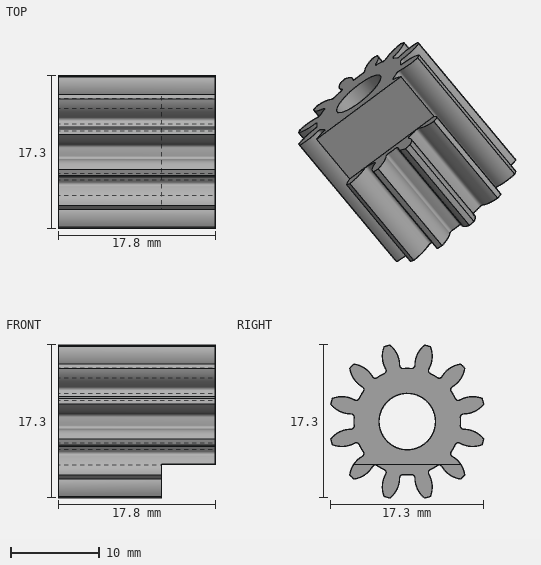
import cadquery as cq
import math

length = 17.78
tooth_count = 12
tip_radius = 8.89
root_radius = 6.05
root_fillet = 0.35
root_edge_tolerance = 0.02
bore_radius = 3.18

flank_radius = 2.93
crest_distance = 7.13
crest_half_width = 0.92
tooth_base_distance = 5.69
pitch_angle = 360 / tooth_count
first_tooth_angle = pitch_angle / 2

cut_start = 11.72
cut_flat_distance = 4.85


def flank_points():
    """Base, crest and tip corner of the flank arc on the +v side."""
    center_v = crest_half_width - flank_radius

    center_distance = math.hypot(crest_distance, center_v)
    law_of_cosines = tip_radius**2 + center_distance**2 - flank_radius**2
    angle_from_center = math.acos(law_of_cosines / (2 * tip_radius * center_distance))
    corner_angle = math.atan2(center_v, crest_distance) + angle_from_center
    tip_corner = (tip_radius * math.cos(corner_angle), tip_radius * math.sin(corner_angle))

    base_offset = tooth_base_distance - crest_distance
    base = (tooth_base_distance, center_v + math.sqrt(flank_radius**2 - base_offset**2))
    crest = (crest_distance, crest_half_width)
    return base, crest, tip_corner


def make_tooth():
    base, crest, tip_corner = flank_points()

    def mirrored(point):
        return point[0], -point[1]

    return (
        cq.Workplane("YZ")
        .moveTo(*mirrored(base))
        .threePointArc(mirrored(crest), mirrored(tip_corner))
        .threePointArc((tip_radius, 0), tip_corner)
        .threePointArc(crest, base)
        .close()
        .extrude(length)
    )


def is_root_edge(edge):
    center = edge.Center()
    return abs(math.hypot(center.y, center.z) - root_radius) < root_edge_tolerance


def make_gear():
    gear = cq.Workplane("YZ").circle(root_radius).extrude(length)
    tooth = make_tooth()
    for index in range(tooth_count):
        angle = first_tooth_angle + index * pitch_angle
        gear = gear.union(tooth.rotate((0, 0, 0), (1, 0, 0), angle))
    return gear.edges("|X").filter(is_root_edge).fillet(root_fillet)


def make_flat_cut():
    cut_length = length - cut_start
    cut_height = tip_radius - cut_flat_distance
    block = cq.Workplane("XY").box(cut_length, 2 * tip_radius, cut_height, centered=(False, True, False))
    return block.translate((cut_start, 0, -tip_radius))


bore = cq.Workplane("YZ").circle(bore_radius).extrude(length)
result = make_gear().cut(bore).cut(make_flat_cut())